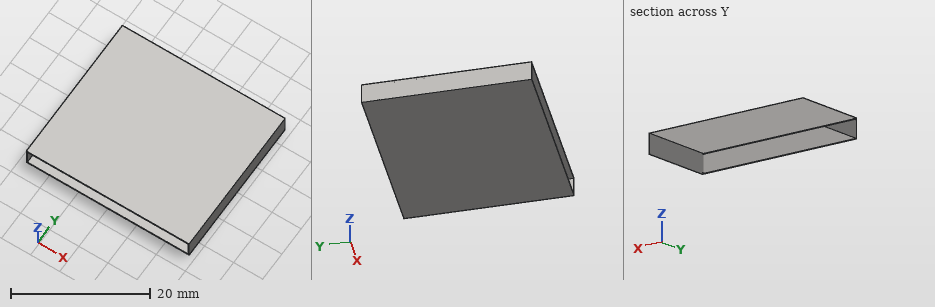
import cadquery as cq

width = 28.0
depth = 25.0
height = 3.2

wall = 0.2

body = cq.Workplane("XY").box(width, depth, height)

cavity = (
    cq.Workplane("XY")
    .box(width - 2 * wall, depth - wall, height - 2 * wall)
    .translate((0, -wall / 2, 0))
)

result = body.cut(cavity)